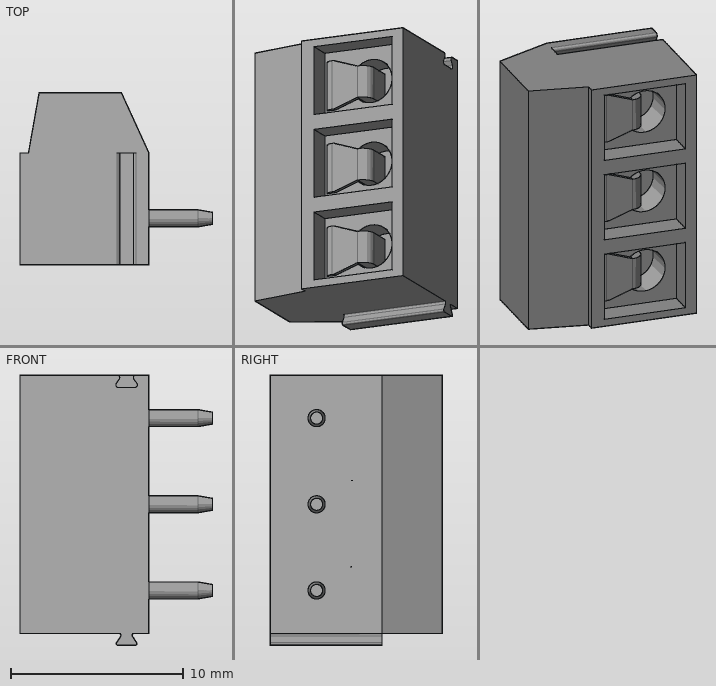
import cadquery as cq

poles = 3
pitch = 5.0
housing_height = poles * pitch
housing_width = 7.5
front_depth = 6.5
housing_depth = 10.0
ledge_width = 0.5
back_left = 1.12
back_right = 5.9

pin_diameter = 1.0
pin_tip_diameter = 0.7
pin_length = 3.7
pin_tip_length = 0.85
pin_y = 2.7

window_depth = 1.5
window_width = 5.0
window_height = 4.1
window_y = 3.2
wire_hole_diameter = 2.6
wire_hole_depth = 2.0

leaf_rise = 0.25
leaf_outer_y = 5.63
leaf_taper_start_y = 5.0
leaf_taper_end_y = 3.5
leaf_wide = 2.93
leaf_narrow = 1.9
leaf_tongue_y = 2.77
leaf_outer_radius = 0.5
leaf_tongue_radius = leaf_taper_end_y - leaf_tongue_y

dovetail_x = 6.2
rail_height = 0.684
rail_neck = 0.48
rail_foot = 1.38
rail_radius = 0.1
groove_depth = 0.72
groove_neck = 0.52
groove_foot = 1.52
groove_radius = 0.15
dovetail_root = 0.4

pole_heights = [(i + 0.5) * pitch for i in range(poles)]
window_floor_x = window_depth
hole_floor_x = window_floor_x + wire_hole_depth
leaf_face_x = window_floor_x - leaf_rise


def make_housing():
    outline = [
        (0, 0),
        (housing_width, 0),
        (housing_width, front_depth),
        (back_right, housing_depth),
        (back_left, housing_depth),
        (ledge_width, front_depth),
        (0, front_depth),
    ]
    return cq.Workplane("XY").polyline(outline).close().extrude(housing_height)


def make_dovetail(neck, foot, height, radius):
    """Downward dovetail with its root at Z = 0; the flared root lies above Z = 0."""
    half_root = foot / 2 + dovetail_root
    profile = [
        (-half_root, dovetail_root),
        (half_root, dovetail_root),
        (half_root, 0),
        (neck / 2, 0),
        (foot / 2, -height),
        (-foot / 2, -height),
        (-neck / 2, 0),
        (-half_root, 0),
    ]
    prism = cq.Workplane("XZ").polyline(profile).close().extrude(-front_depth)
    rounded_edges = "|Y and (not (<X or >X))"
    return prism.edges(rounded_edges).fillet(radius).translate((dovetail_x, 0, 0))


def make_window(z):
    """Rectangular window with a round wire hole in its floor."""
    window = (
        cq.Workplane("YZ")
        .center(window_y, z)
        .rect(window_width, window_height)
        .extrude(window_depth)
    )
    wire_hole = (
        cq.Workplane("YZ")
        .center(pin_y, z)
        .circle(wire_hole_diameter / 2)
        .extrude(hole_floor_x)
    )
    return window.union(wire_hole)


def make_leaf(z):
    """Tapered leaf, rounded at both ends, with its tongue bent into the wire hole."""
    side = (
        cq.Workplane("XY")
        .moveTo(hole_floor_x, leaf_outer_y)
        .lineTo(leaf_face_x + leaf_outer_radius, leaf_outer_y)
        .radiusArc((leaf_face_x, leaf_outer_y - leaf_outer_radius), -leaf_outer_radius)
        .lineTo(leaf_face_x, leaf_taper_end_y)
        .radiusArc((leaf_face_x + leaf_tongue_radius, leaf_tongue_y), -leaf_tongue_radius)
        .lineTo(hole_floor_x, leaf_tongue_y)
        .close()
        .extrude(leaf_wide)
        .translate((0, 0, z - leaf_wide / 2))
    )
    face_outline = [
        (leaf_outer_y, z - leaf_wide / 2),
        (leaf_taper_start_y, z - leaf_wide / 2),
        (leaf_taper_end_y, z - leaf_narrow / 2),
        (leaf_tongue_y, z - leaf_narrow / 2),
        (leaf_tongue_y, z + leaf_narrow / 2),
        (leaf_taper_end_y, z + leaf_narrow / 2),
        (leaf_taper_start_y, z + leaf_wide / 2),
        (leaf_outer_y, z + leaf_wide / 2),
    ]
    face = cq.Workplane("YZ").polyline(face_outline).close().extrude(hole_floor_x)
    return side.intersect(face)


def make_pin(z):
    """Round pin with a tapered tip, rooted inside the housing at the wire-hole floor."""
    tip_x = housing_width + pin_length
    half_profile = [
        (hole_floor_x, 0),
        (hole_floor_x, -pin_diameter / 2),
        (tip_x - pin_tip_length, -pin_diameter / 2),
        (tip_x, -pin_tip_diameter / 2),
        (tip_x, 0),
    ]
    pin = cq.Workplane("XY").polyline(half_profile).close().revolve(360, (0, 0, 0), (1, 0, 0))
    return pin.translate((0, pin_y, z))


rail = make_dovetail(rail_neck, rail_foot, rail_height, rail_radius)
groove = make_dovetail(groove_neck, groove_foot, groove_depth, groove_radius)

result = make_housing().union(rail).cut(groove.translate((0, 0, housing_height)))
for pole_z in pole_heights:
    result = result.cut(make_window(pole_z)).union(make_leaf(pole_z)).union(make_pin(pole_z))